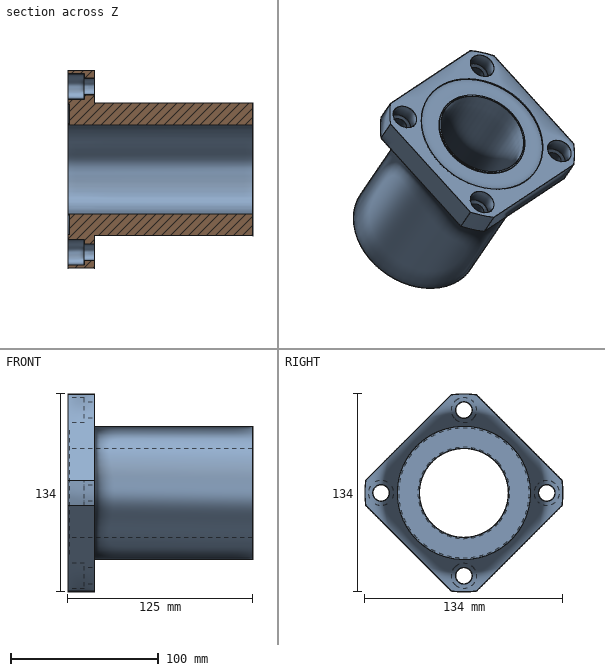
import cadquery as cq

flange_diameter = 134.0
flange_thickness = 18.0
flange_width = 106.0
total_length = 125.0
body_diameter = 90.0
bore_diameter = 60.0

recess_outer_diameter = 88.0
recess_inner_diameter = 62.0
recess_depth = 1.0

bolt_circle_diameter = 112.0
hole_count = 4
hole_diameter = 11.0
counterbore_diameter = 17.0
counterbore_depth = 11.0


def cylinder(diameter, length):
    """Solid cylinder along +X, starting at the flange face."""
    return cq.Workplane("YZ").circle(diameter / 2).extrude(length)


def make_flange():
    """Square flange turned on its corner, with the corners rounded by a disc."""
    square = (
        cq.Workplane("YZ")
        .transformed(rotate=(0, 0, 45))
        .rect(flange_width, flange_width)
        .extrude(flange_thickness)
    )
    return square.intersect(cylinder(flange_diameter, flange_thickness))


def make_recess():
    """Ring of material removed from the flange face."""
    lip = cylinder(recess_inner_diameter, recess_depth)
    return cylinder(recess_outer_diameter, recess_depth).cut(lip)


def make_mounting_holes():
    """Counterbored hole cutters, opening on the flange face."""
    centres = cq.Workplane("YZ").polarArray(bolt_circle_diameter / 2, 0, 360, hole_count)
    holes = centres.circle(hole_diameter / 2).extrude(flange_thickness)
    centres = cq.Workplane("YZ").polarArray(bolt_circle_diameter / 2, 0, 360, hole_count)
    counterbores = centres.circle(counterbore_diameter / 2).extrude(counterbore_depth)
    return holes.union(counterbores)


result = (
    make_flange()
    .union(cylinder(body_diameter, total_length))
    .cut(cylinder(bore_diameter, total_length))
    .cut(make_recess())
    .cut(make_mounting_holes())
)